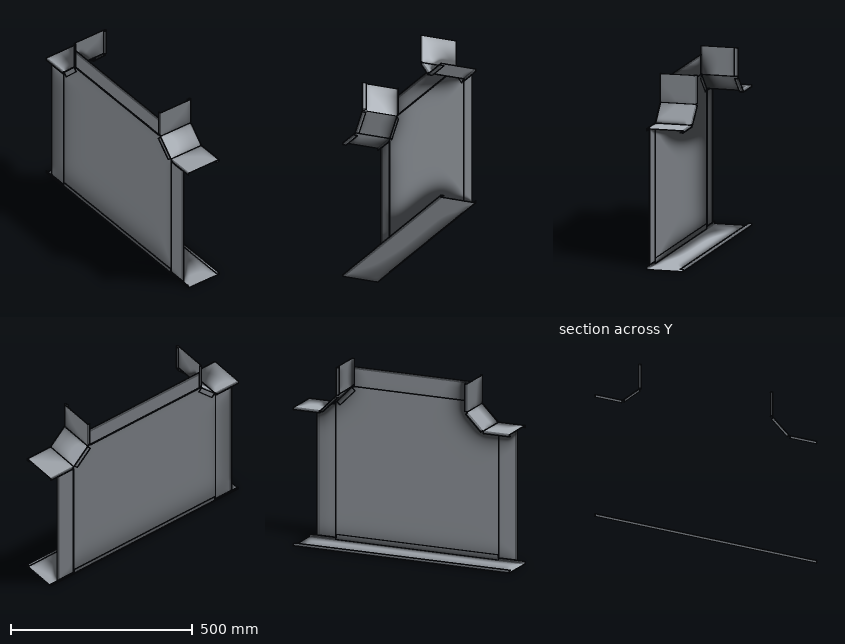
import cadquery as cq
import math


run_length = 654.0
total_height = 525.0
rail_depth = 107.0
sheet = 1.2
fit_gap = 0.5

front_bend = 1.45
back_bend = 3.0
flange_width = 7.0
tab_width = 16.5
diagonal_tab_width = 15.0
lip_width = 7.0
return_length = 10.5
relief = 2.0
flange_miter = 5.0

arm_length = 80.5
arm_height = 396.0
bend_angle = math.radians(45)
half_run = run_length / 2
bend_x = half_run - arm_length
branch_z = total_height - arm_length
branch_half = bend_x - (branch_z - arm_height)

strip_length = 57.5
rim_width = 6.0
rim_slope = 4.0


def rounded_corner(solid, point, radius):
    """Round the lengthwise edge that passes through a corner of the section."""
    nearest = cq.selectors.NearestToPointSelector((point[0], point[1], solid.val().Center().z))
    return solid.edges("|Z").edges(nearest).fillet(radius)


def rail_section(front_width, length):
    """Rail length along Z, with X as depth and Y as distance inward from the web."""
    inner_back = rail_depth - sheet
    inner_lip = lip_width - sheet
    return_end = rail_depth - return_length
    solid = (
        cq.Workplane("XY")
        .polyline([
            (0, front_width),
            (0, 0),
            (rail_depth, 0),
            (rail_depth, lip_width),
            (return_end, lip_width),
            (return_end, inner_lip),
            (inner_back, inner_lip),
            (inner_back, sheet),
            (sheet, sheet),
            (sheet, front_width),
        ])
        .close()
        .extrude(length)
    )
    solid = rounded_corner(solid, (0, 0), front_bend)
    solid = rounded_corner(solid, (sheet, sheet), front_bend - sheet)
    for depth, inward in [(rail_depth, 0), (rail_depth, lip_width)]:
        solid = rounded_corner(solid, (depth, inward), back_bend)
    for depth, inward in [(inner_back, sheet), (inner_back, inner_lip)]:
        solid = rounded_corner(solid, (depth, inward), back_bend - sheet)
    return solid


def place_section(solid, start, direction):
    """Lay a rail length along an XZ direction, its flanges to the left of that direction."""
    plane = cq.Plane(
        origin=(start[0], 0, start[1]),
        xDir=(0, 1, 0),
        normal=(direction[0], 0, direction[1]),
    )
    return cq.Workplane(obj=solid.val().moved(cq.Location(plane)))


def mitered_arm():
    """Rail end whose front flange is cut at 45 degrees at its far end, next to the bend."""
    length = arm_length - relief
    cut = (
        cq.Workplane("YZ")
        .polyline([
            (flange_width, length - flange_miter),
            (flange_width, length),
            (flange_width - flange_miter, length),
        ])
        .close()
        .extrude(sheet)
    )
    return rail_section(flange_width, length).cut(cut)


def make_corner_rail():
    """Left corner rail: run arm, diagonal and branch arm bent from one strip."""
    diagonal = math.hypot(bend_x - branch_half, branch_z - arm_height)
    slant = math.cos(bend_angle)
    miter = sheet * math.tan(bend_angle / 2)
    web = (
        cq.Workplane("XZ", origin=(0, front_bend, 0))
        .polyline([
            (-half_run, arm_height),
            (-bend_x, arm_height),
            (-branch_half, branch_z),
            (-branch_half, total_height),
            (-branch_half + sheet, total_height),
            (-branch_half + sheet, branch_z - miter),
            (-bend_x + miter, arm_height - sheet),
            (-half_run, arm_height - sheet),
        ])
        .close()
        .extrude(-(rail_depth - front_bend - back_bend))
    )
    arm = mitered_arm()
    branch_arm = place_section(arm, (-branch_half, total_height), (0, -1))
    run_arm = place_section(arm.mirror("XY"), (-half_run, arm_height), (-1, 0))
    middle = place_section(
        rail_section(diagonal_tab_width, diagonal - 2 * relief),
        (-branch_half - relief * slant, branch_z - relief * slant),
        (-slant, -slant),
    )
    return web.union(run_arm).union(middle).union(branch_arm)


def make_straight_rail():
    """Bottom rail, with a wide tab between two narrow-flanged ends."""
    full = rail_section(flange_width, run_length)
    rail = place_section(full, (-half_run, 0), (1, 0))
    tab_half = bend_x - relief
    tab = (
        cq.Workplane("XY")
        .box(2 * tab_half, sheet, tab_width - front_bend, centered=(True, False, False))
        .translate((0, 0, front_bend))
    )
    return rail.union(tab)


def arm_strip(width):
    """Forward-stepped arm of the base along X, with a rim stepped back at its end."""
    rim_start = strip_length - rim_width
    rim_flat = rim_start + rim_slope
    return (
        cq.Workplane("XY")
        .polyline([
            (0, 0),
            (rim_start, 0),
            (rim_flat, sheet),
            (strip_length, sheet),
            (strip_length, 2 * sheet),
            (rim_flat, 2 * sheet),
            (rim_start, sheet),
            (sheet, sheet),
            (sheet, 2 * sheet),
            (0, 2 * sheet),
        ])
        .close()
        .extrude(width)
    )


def make_base():
    """Base sheet: a panel behind the rail tabs and three arms level with the flanges."""
    web_inset = sheet + fit_gap
    diagonal_inset = web_inset * math.sqrt(2)
    left_edge = [
        (-bend_x, web_inset),
        (-bend_x, arm_height - diagonal_inset),
        (-branch_half + diagonal_inset, branch_z),
    ]
    right_edge = [(-x, z) for x, z in reversed(left_edge)]
    base = (
        cq.Workplane("XZ", origin=(0, sheet, 0))
        .polyline(left_edge + right_edge)
        .close()
        .extrude(-sheet)
    )
    flange_inset = flange_width + fit_gap
    right_arm = arm_strip(arm_height - 2 * flange_inset).translate((bend_x, 0, flange_inset))
    branch_width = 2 * (branch_half - flange_inset)
    branch_arm = (
        arm_strip(branch_width)
        .rotate((0, 0, 0), (0, 1, 0), -90)
        .translate((branch_width / 2, 0, branch_z))
    )
    return base.union(right_arm).union(right_arm.mirror("YZ")).union(branch_arm)


base = make_base()
straight_rail = make_straight_rail()
left_rail = make_corner_rail()
corner_rails = [left_rail, left_rail.mirror("YZ")]

result = cq.Compound.makeCompound([
    base.solids().val(),
    straight_rail.solids().val(),
    *[rail.solids().val() for rail in corner_rails],
])